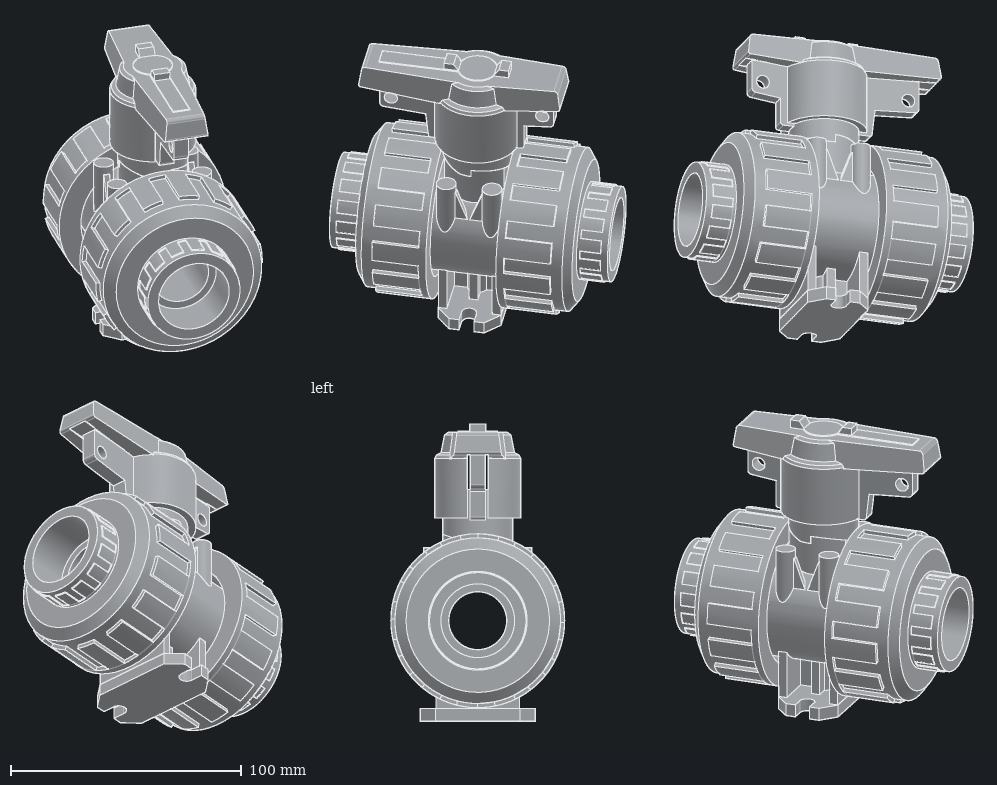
import cadquery as cq
import math

BODY_RADIUS = 24.9
BORE_RADIUS = 12.5
SOCKET_RADIUS = 16.0
SOCKET_DEPTH = 19.4
PIPE_END_X = 61.47
PIPE_RADIUS = 21.4
PIPE_FLOOR_RADIUS = 20.9
PIPE_PADS_X = (49.3, 58.5)
PIPE_POCKET_ANGLES = (2.8, 13)

NUT_INNER_X = 15.5
NUT_OUTER_X = 47.9
NUT_RADIUS = 37.73
NUT_FLOOR_RADIUS = 35.93
NUT_FACE_RADIUS = 31.1
NUT_BEVEL_X = 44.4
NUT_PADS_X = (18.8, 39.3)
NUT_CAVITY_RADIUS = 27.9
NUT_CAVITY_END_X = 34.0
NUT_POCKET_ANGLES = (1.3, 12.9)
GRIP_COUNT = 14
PAD_ROOT = 1.3

STEM_RADIUS = 15.1
STEM_FLAT_X = 13.2
COLLAR_RADIUS = 15.2
STEM_TOP_Z = 57.0
STOP_HIGH_Z = 37.5
STOP_LOW_Z = 34.0
STOP_FLAT = 5.2
STOP_RAMP_REACH = 15.5

POST_RADIUS = 4.3
POST_X = 10.13
POST_Y = 19.2
POST_TOP_Z = 31.7
WEB_Y = (17.8, 20.4)
WEB_TOP_Z = 28.0
WEB_HALF_GAP_TOP = 5.7
WEB_HALF_GAP_BOTTOM = 0.5
WEB_NOTCH_Z = math.sqrt(BODY_RADIUS**2 - WEB_Y[1]**2)

BASE_BOTTOM_Z = -43.6
BASE_TOP_Z = -37.99
BASE_HALF_X = 13.9
BASE_HALF_Y = 24.96
BASE_CHAMFER_X = 6.2
BASE_CHAMFER_Y = 6.7
NOTCH_RADIUS = 3.29
NOTCH_CENTRE_Y = 19.4
LEG_X = (10.0, 13.8)
LEG_HALF_Y = 18.2
WALL_THICKNESS = 3.9
CROSS_WALL_HALF_Y = 9.7
BASE_BOSS_RADIUS = 4.6

SKIRT_RADIUS = 18.7
SKIRT_BOTTOM_Z = 44.5
SKIRT_TOP_Z = 70.4
SHOULDER_RADIUS = 17.9
SHOULDER_Z = 71.9
KNOB_BASE_RADIUS = 16.0
KNOB_BASE_Z = 72.9
KNOB_BEVEL_RADIUS = 14.5
KNOB_BEVEL_Z = 80.6
KNOB_TOP_RADIUS = 12.8
SLOT_WIDTH = 8.9
SLOT_TOP_Z = 72.0
BAR_TOP_Z = 81.8
BAR_DRAFT = 8
BAR_LEFT_X = -37.0
BAR_RIGHT_X = 49.5
BAR_HALF_LEFT = 8.9
BAR_HALF_MIDDLE = 11.5
BAR_HALF_RIGHT = 8.4
BAR_BOTTOM_LEFT_Z = 72.05
BAR_BOTTOM_MIDDLE_Z = 69.1
BAR_BOTTOM_RIGHT_Z = 71.9
BAR_END_FILLET = 1.8
BAR_HEEL_FILLET = 1.0
DISC_RADIUS = 8.58
RAISED_Z = 82.3
STRIP_END_X = 43.0
STRIP_WIDTH = 7.6
TAB_TOP_Z = 85.4
TAB_WIDTH = 7.0
TAB_OUTER_X = 14.25
TAB_CREST_X = 10.0
TAB_FOOT_X = 7.9
FIN_THICKNESS = 6.6
FIN_TOP_Z = 73.5
FIN_BOTTOM_Z = 43.6
FIN_STEP_Z = 56.0
FIN_TIP_Z = 57.4
FIN_LEFT_X = -34.2
FIN_RIGHT_X = 42.7
FIN_FOOT_X = 21.0
FIN_FOOT_SLANT = 1.4
FIN_TIP_RADIUS = 1.9
FIN_FOOT_RADIUS = 1.3
FIN_HOLE_RADIUS = 2.9
FIN_HOLE_Z = 62.6
FIN_HOLES_X = (-29.2, 37.8)


def block(x, y, z):
    """Box spanning the given (low, high) pairs."""
    size = (x[1] - x[0], y[1] - y[0], z[1] - z[0])
    return cq.Workplane("XY").box(*size, centered=False).translate((x[0], y[0], z[0]))


def cylinder(radius, low_z, high_z):
    """Upright cylinder on the stem axis."""
    return cq.Workplane("XY").workplane(offset=low_z).circle(radius).extrude(high_z - low_z)


def pipe_rod(radius, x):
    """Cylinder on the pipe axis between two X positions."""
    return cq.Workplane("YZ").workplane(offset=x[0]).circle(radius).extrude(x[1] - x[0])


def side_plate(points, thickness):
    """Plate parallel to XZ, centred on Y = 0."""
    return cq.Workplane("XZ").polyline(points).close().extrude(thickness / 2, both=True)


def turn_about_stem(shape, angle):
    return shape.rotate((0, 0, 0), (0, 0, 1), angle)


def add_grip_pads(shape, x, floor_radius, outer_radius, pocket_angles):
    """Add equal raised pads around the pipe axis, leaving shallow pockets between them."""
    pitch = 360 / GRIP_COUNT
    pad_angle = pitch - (pocket_angles[1] - pocket_angles[0])
    pad = (
        cq.Workplane("XY")
        .moveTo(x[0], floor_radius - PAD_ROOT)
        .lineTo(x[1], floor_radius - PAD_ROOT)
        .lineTo(x[1], outer_radius)
        .lineTo(x[0], outer_radius)
        .close()
        .revolve(pad_angle, (0, 0, 0), (1, 0, 0))
    )
    for index in range(GRIP_COUNT):
        angle = pocket_angles[1] + index * pitch
        shape = shape.union(pad.rotate((0, 0, 0), (1, 0, 0), angle))
    return shape


def make_nut():
    """Union nut on the -X side, with a bevelled outer face and a cavity around the body."""
    nut = (
        cq.Workplane("XY")
        .polyline([
            (-NUT_INNER_X, 0),
            (-NUT_INNER_X, NUT_RADIUS),
            (-NUT_PADS_X[0], NUT_RADIUS),
            (-NUT_PADS_X[0], NUT_FLOOR_RADIUS),
            (-NUT_BEVEL_X, NUT_FLOOR_RADIUS),
            (-NUT_OUTER_X, NUT_FACE_RADIUS),
            (-NUT_OUTER_X, 0),
        ])
        .close()
        .revolve(360, (0, 0, 0), (1, 0, 0))
    )
    pads_x = (-NUT_PADS_X[1], -NUT_PADS_X[0])
    nut = add_grip_pads(nut, pads_x, NUT_FLOOR_RADIUS, NUT_RADIUS, NUT_POCKET_ANGLES)
    return nut.cut(pipe_rod(NUT_CAVITY_RADIUS, (-NUT_CAVITY_END_X, -NUT_INNER_X)))


def make_pipe_end():
    """Pipe end on the -X side, with grip pads between a shoulder and a plain lip."""
    pads_x = (-PIPE_PADS_X[1], -PIPE_PADS_X[0])
    end = pipe_rod(PIPE_FLOOR_RADIUS, (-PIPE_END_X, -NUT_CAVITY_END_X))
    end = end.union(pipe_rod(PIPE_RADIUS, (-PIPE_PADS_X[0], -NUT_CAVITY_END_X)))
    return add_grip_pads(end, pads_x, PIPE_FLOOR_RADIUS, PIPE_RADIUS, PIPE_POCKET_ANGLES)


def make_stem():
    """Stem with two flats, and a collar whose lower rim has four ramped stops, one per quarter turn."""
    stem = cylinder(STEM_RADIUS, 0, STEM_TOP_Z)
    between_flats = block((-STEM_FLAT_X, STEM_FLAT_X), (-STEM_RADIUS, STEM_RADIUS), (0, STEM_TOP_Z))
    stem = stem.intersect(between_flats)
    stem = stem.union(cylinder(COLLAR_RADIUS, STOP_HIGH_Z, STEM_TOP_Z))
    ramp = (
        cq.Workplane("XZ")
        .polyline([
            (-STOP_RAMP_REACH, STOP_HIGH_Z),
            (-STOP_FLAT, STOP_LOW_Z),
            (0, STOP_LOW_Z),
            (0, STOP_HIGH_Z),
        ])
        .close()
        .extrude(STOP_RAMP_REACH)
        .intersect(cylinder(COLLAR_RADIUS, STOP_LOW_Z, STOP_HIGH_Z))
    )
    for quarter in range(4):
        stem = stem.union(turn_about_stem(ramp, quarter * 90))
    return stem


def make_posts():
    """Four round posts on the body, each Y side joined by a web with a V notch."""
    posts = (
        cq.Workplane("XY")
        .rect(2 * POST_X, 2 * POST_Y, forConstruction=True)
        .vertices()
        .circle(POST_RADIUS)
        .extrude(POST_TOP_Z)
    )
    web = (
        cq.Workplane("XZ", origin=(0, -WEB_Y[0], 0))
        .polyline([
            (-POST_X, 0),
            (POST_X, 0),
            (POST_X, WEB_TOP_Z),
            (WEB_HALF_GAP_TOP, WEB_TOP_Z),
            (WEB_HALF_GAP_BOTTOM, WEB_NOTCH_Z),
            (-WEB_HALF_GAP_BOTTOM, WEB_NOTCH_Z),
            (-WEB_HALF_GAP_TOP, WEB_TOP_Z),
            (-POST_X, WEB_TOP_Z),
        ])
        .close()
        .extrude(WEB_Y[1] - WEB_Y[0])
    )
    return posts.union(web).union(turn_about_stem(web, 180))


def make_base():
    """Foot plate with cut corners and two open notches, hung from the body on walls."""
    corner_x = BASE_HALF_X - BASE_CHAMFER_X
    corner_y = BASE_HALF_Y - BASE_CHAMFER_Y
    plate = (
        cq.Workplane("XY")
        .workplane(offset=BASE_BOTTOM_Z)
        .polyline([
            (-BASE_HALF_X, -corner_y),
            (-corner_x, -BASE_HALF_Y),
            (corner_x, -BASE_HALF_Y),
            (BASE_HALF_X, -corner_y),
            (BASE_HALF_X, corner_y),
            (corner_x, BASE_HALF_Y),
            (-corner_x, BASE_HALF_Y),
            (-BASE_HALF_X, corner_y),
        ])
        .close()
        .extrude(BASE_TOP_Z - BASE_BOTTOM_Z)
    )
    plate_z = (BASE_BOTTOM_Z, BASE_TOP_Z)
    notch = cylinder(NOTCH_RADIUS, *plate_z).translate((0, -NOTCH_CENTRE_Y, 0))
    notch_y = (-BASE_HALF_Y, -NOTCH_CENTRE_Y)
    notch = notch.union(block((-NOTCH_RADIUS, NOTCH_RADIUS), notch_y, plate_z))
    base = plate.cut(notch).cut(turn_about_stem(notch, 180))

    wall_z = (BASE_TOP_Z, 0)
    half_wall = WALL_THICKNESS / 2
    leg = block(LEG_X, (-LEG_HALF_Y, LEG_HALF_Y), (BASE_TOP_Z, -BODY_RADIUS / 2))
    long_wall = block((-LEG_X[0], LEG_X[0]), (-half_wall, half_wall), wall_z)
    cross_wall = block((-half_wall, half_wall), (-CROSS_WALL_HALF_Y, CROSS_WALL_HALF_Y), wall_z)
    for piece in (leg, turn_about_stem(leg, 180), long_wall, cross_wall):
        base = base.union(piece)
    return base.union(cylinder(BASE_BOSS_RADIUS, *wall_z))


def make_bar():
    """Tapered lever bar, wider downwards, with a V-shaped underside."""
    depth = BAR_TOP_Z - BAR_BOTTOM_MIDDLE_Z
    spread = depth * math.tan(math.radians(BAR_DRAFT))
    bar = (
        cq.Workplane("XY")
        .workplane(offset=BAR_BOTTOM_MIDDLE_Z)
        .polyline([
            (BAR_LEFT_X - spread, -BAR_HALF_LEFT - spread),
            (0, -BAR_HALF_MIDDLE - spread),
            (BAR_RIGHT_X + spread, -BAR_HALF_RIGHT - spread),
            (BAR_RIGHT_X + spread, BAR_HALF_RIGHT + spread),
            (0, BAR_HALF_MIDDLE + spread),
            (BAR_LEFT_X - spread, BAR_HALF_LEFT + spread),
        ])
        .close()
        .extrude(depth, taper=BAR_DRAFT)
    )
    bar = bar.faces(">Z").edges("<X or >X").fillet(BAR_END_FILLET)
    left_x = BAR_LEFT_X - spread
    right_x = BAR_RIGHT_X + spread
    underside = side_plate(
        [
            (left_x, BAR_BOTTOM_LEFT_Z),
            (0, BAR_BOTTOM_MIDDLE_Z),
            (right_x, BAR_BOTTOM_RIGHT_Z),
            (right_x, BAR_BOTTOM_MIDDLE_Z),
            (left_x, BAR_BOTTOM_MIDDLE_Z),
        ],
        4 * BAR_HALF_MIDDLE,
    )
    bar = bar.cut(underside)
    for end in ("<X", ">X"):
        bar = bar.edges("|Y").edges(end).fillet(BAR_HEEL_FILLET)
    return bar


def make_hub():
    """Turned hub: a skirt around the stem, a flared shoulder and a conical knob."""
    return (
        cq.Workplane("XZ")
        .polyline([
            (0, SKIRT_BOTTOM_Z),
            (SKIRT_RADIUS, SKIRT_BOTTOM_Z),
            (SKIRT_RADIUS, SKIRT_TOP_Z),
            (SHOULDER_RADIUS, SHOULDER_Z),
            (KNOB_BASE_RADIUS, KNOB_BASE_Z),
            (KNOB_BEVEL_RADIUS, KNOB_BEVEL_Z),
            (KNOB_TOP_RADIUS, BAR_TOP_Z),
            (0, BAR_TOP_Z),
        ])
        .close()
        .revolve(360, (0, 0, 0), (0, 1, 0))
    )


def make_top_details():
    """Raised disc, indicator strip and two bevelled tabs on top of the bar."""
    strip_half = STRIP_WIDTH / 2
    details = cylinder(DISC_RADIUS, BAR_TOP_Z, RAISED_Z)
    strip = block((0, STRIP_END_X), (-strip_half, strip_half), (BAR_TOP_Z, RAISED_Z))
    tab = side_plate(
        [
            (TAB_FOOT_X, BAR_TOP_Z),
            (TAB_OUTER_X, BAR_TOP_Z),
            (TAB_OUTER_X, TAB_TOP_Z),
            (TAB_CREST_X, TAB_TOP_Z),
            (TAB_FOOT_X, RAISED_Z),
        ],
        TAB_WIDTH,
    )
    return details.union(strip).union(tab).union(turn_about_stem(tab, 180))


def make_fin():
    """Thin fin under the bar with a locking hole near each end and rounded lower corners."""
    left_tip = (FIN_LEFT_X, FIN_TIP_Z)
    left_foot = (-FIN_FOOT_X, FIN_BOTTOM_Z)
    right_foot = (FIN_FOOT_X, FIN_BOTTOM_Z)
    right_tip = (FIN_RIGHT_X, FIN_TIP_Z)
    fin = side_plate(
        [
            (FIN_LEFT_X, FIN_TOP_Z),
            left_tip,
            (-FIN_FOOT_X, FIN_STEP_Z),
            left_foot,
            right_foot,
            (FIN_FOOT_X + FIN_FOOT_SLANT, FIN_STEP_Z),
            right_tip,
            (FIN_RIGHT_X, FIN_TOP_Z),
        ],
        FIN_THICKNESS,
    )
    rounded_corners = (
        (left_tip, FIN_TIP_RADIUS),
        (right_tip, FIN_TIP_RADIUS),
        (left_foot, FIN_FOOT_RADIUS),
        (right_foot, FIN_FOOT_RADIUS),
    )
    for (x, z), radius in rounded_corners:
        corner = cq.selectors.NearestToPointSelector((x, 0, z))
        fin = fin.edges(corner).fillet(radius)
    holes = (
        cq.Workplane("XZ")
        .pushPoints([(x, FIN_HOLE_Z) for x in FIN_HOLES_X])
        .circle(FIN_HOLE_RADIUS)
        .extrude(FIN_THICKNESS, both=True)
    )
    return fin.cut(holes)


def make_handle():
    """Hub and bar, slotted along X to make room for the fin."""
    slot_half = SLOT_WIDTH / 2
    slot_x = (2 * BAR_LEFT_X, 2 * BAR_RIGHT_X)
    slot = block(slot_x, (-slot_half, slot_half), (SKIRT_BOTTOM_Z, SLOT_TOP_Z))
    return make_hub().union(make_bar()).cut(slot).union(make_fin()).union(make_top_details())


result = pipe_rod(BODY_RADIUS, (-NUT_CAVITY_END_X, NUT_CAVITY_END_X))
for part in (make_stem(), make_posts(), make_base(), make_handle()):
    result = result.union(part)
for part in (make_nut(), make_pipe_end()):
    result = result.union(part).union(turn_about_stem(part, 180))

result = result.cut(pipe_rod(BORE_RADIUS, (-PIPE_END_X, PIPE_END_X)))
socket = pipe_rod(SOCKET_RADIUS, (-PIPE_END_X, SOCKET_DEPTH - PIPE_END_X))
result = result.cut(socket).cut(turn_about_stem(socket, 180))